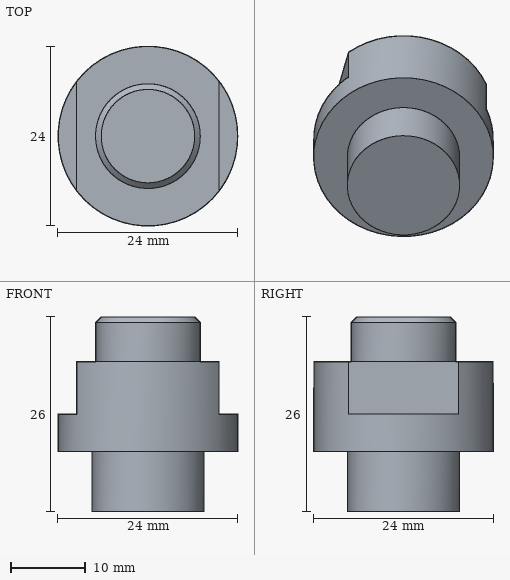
import cadquery as cq

total_height = 26.0
collar_diameter = 24.0

shank_diameter = 15.0
shank_height = 8.0

collar_top = 20.0
flat_bottom = 13.0
width_across_flats = 19.0

pin_diameter = 14.0
pin_chamfer = 0.75


def cylinder(diameter, bottom, top):
    """Upright cylinder on the Z axis between two heights."""
    return cq.Workplane("XY").workplane(offset=bottom).circle(diameter / 2).extrude(top - bottom)


def flatted_collar():
    """Round collar whose upper part is cut flat on the -X and +X sides."""
    collar = cylinder(collar_diameter, shank_height, collar_top)
    flat_height = collar_top - flat_bottom
    cut_depth = (collar_diameter - width_across_flats) / 2
    for side in (-1, 1):
        cut_center = side * (width_across_flats + cut_depth) / 2
        flat_cut = (
            cq.Workplane("XY")
            .workplane(offset=flat_bottom)
            .center(cut_center, 0)
            .rect(cut_depth, collar_diameter)
            .extrude(flat_height)
        )
        collar = collar.cut(flat_cut)
    return collar


shank = cylinder(shank_diameter, 0, shank_height)
pin = cylinder(pin_diameter, collar_top, total_height).faces(">Z").chamfer(pin_chamfer)

result = shank.union(flatted_collar()).union(pin)